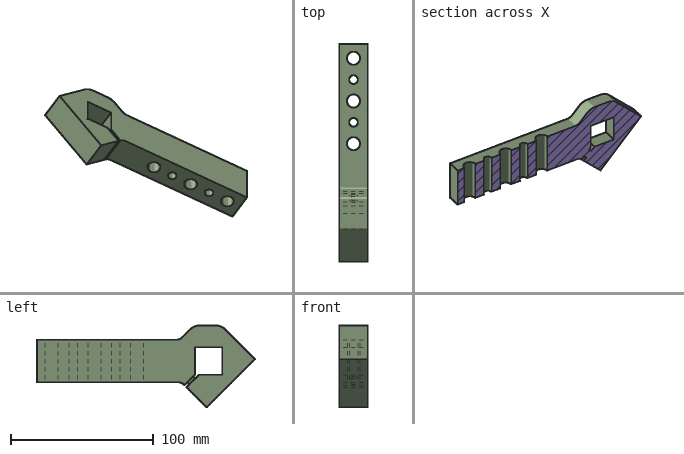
import cadquery as cq
import math

length = 152.5
width = 20.0
height = 57.5

shank_height = 29.9
shank_bottom = 17.5
shank_top = shank_bottom + shank_height

tip_height = 33.9
top_front = height - tip_height
top_back = 42.5
neck_top = top_back + height - shank_top
neck_bottom = tip_height + shank_bottom
crown_radius = 9.9
neck_radius = 6.0

square_side = 18.9
square_start = 23.0
square_end = square_start + square_side
slit_width = 2.0
slit_overrun = 4.5

screw_diameter = 6.0
screw_offset = 4.7
screw_overlap = 0.8

hole_diameters = [9.0, 6.0, 9.0, 6.0, 9.0]
hole_end_distance = 10.0
hole_pitch = 15.0


def make_body():
    """Extrude the side outline across the width and round its bends."""
    outline = [
        (0, tip_height),
        (top_front, height),
        (top_back, height),
        (neck_top, shank_top),
        (length, shank_top),
        (length, shank_bottom),
        (neck_bottom, shank_bottom),
        (tip_height, 0),
    ]
    body = cq.Workplane("YZ").polyline(outline).close().extrude(width / 2, both=True)
    body = round_bends(body, [(top_front, height), (top_back, height)], crown_radius)
    return round_bends(body, [(neck_top, shank_top), (neck_bottom, shank_bottom)], neck_radius)


def round_bends(body, bends, radius):
    """Fillet the edges along X that pass through the given (Y, Z) points."""
    for y, z in bends:
        body = body.edges(cq.selectors.NearestToPointSelector((0, y, z))).fillet(radius)
    return body


def make_square_opening():
    center = square_start + square_side / 2
    return (
        cq.Workplane("YZ").center(center, center)
        .rect(square_side, square_side).extrude(width, both=True)
    )


def slit_plane():
    """Plane on the slit's shank-side face: origin at the square's corner, local X outward along the slit."""
    return cq.Plane(origin=(0, square_end, square_start), xDir=(0, 1, -1), normal=(0, -1, -1))


def make_slit():
    square_diagonal = math.sqrt(2) * square_side
    wall = (tip_height - (square_end - square_start)) / math.sqrt(2)
    slit_start = -square_diagonal / 4
    slit_end = wall + slit_overrun
    return (
        cq.Workplane(slit_plane()).center((slit_start + slit_end) / 2, 0)
        .rect(slit_end - slit_start, 2 * width).extrude(slit_width)
    )


def make_screw():
    return (
        cq.Workplane(slit_plane()).workplane(offset=-screw_overlap)
        .center(screw_offset, 0).circle(screw_diameter / 2)
        .extrude(slit_width + 2 * screw_overlap)
    )


def drill_shank(body):
    for index, diameter in enumerate(hole_diameters):
        y = length - hole_end_distance - index * hole_pitch
        hole = cq.Workplane("XY").center(0, y).circle(diameter / 2).extrude(height)
        body = body.cut(hole)
    return body


body = drill_shank(make_body())
result = body.cut(make_square_opening()).cut(make_slit()).union(make_screw())